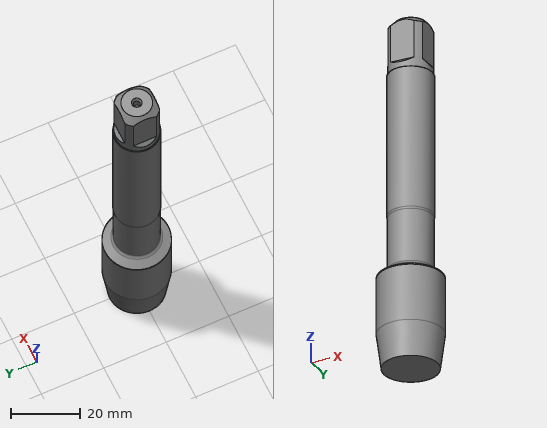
import cadquery as cq
import math

total_height = 112.0

head_radius = 20.2 / 2
tip_radius = 17.2 / 2
taper_height = 11.0
head_height = 28.9

shoulder_bottom = 29.2
shoulder_small_radius = 7.5
shoulder_top = 30.8
neck_radius = 13.7 / 2
neck_fillet_top = 31.8
neck_top = 48.7

shank_radius = 14.0 / 2
shank_bottom = 49.4
shank_top = 95.1
shank_chamfer = 0.2

drive_radius = 13.4 / 2
drive_flats = 11.2
flats_bottom = 98.0
drive_top_radius = 4.6
drive_chamfer_height = 2.1

hole_radius = 2.0 / 2
countersink_radius = 3.0 / 2
countersink_angle = 60.0
hole_depth = 3.4
drill_point_angle = 118.0


def revolve_profile(profile):
    return profile.close().revolve(360, (0, 0, 0), (0, 1, 0))


def cone_height(radius_change, included_angle):
    return radius_change / math.tan(math.radians(included_angle / 2))


def make_head():
    profile = (
        cq.Workplane("XZ")
        .lineTo(tip_radius, 0)
        .lineTo(head_radius, taper_height)
        .lineTo(head_radius, head_height)
        .lineTo(0, head_height)
    )
    return revolve_profile(profile)


def make_shank_blank():
    profile = (
        cq.Workplane("XZ")
        .moveTo(0, head_height)
        .lineTo(head_radius, head_height)
        .lineTo(head_radius, shoulder_bottom)
        .lineTo(shoulder_small_radius, shoulder_top)
        .tangentArcPoint((neck_radius, neck_fillet_top), relative=False)
        .lineTo(neck_radius, neck_top)
        .lineTo(shank_radius, shank_bottom)
        .lineTo(shank_radius, shank_top - shank_chamfer)
        .lineTo(shank_radius - shank_chamfer, shank_top)
        .lineTo(drive_radius, shank_top)
        .lineTo(drive_radius, total_height - drive_chamfer_height)
        .lineTo(drive_top_radius, total_height)
        .lineTo(0, total_height)
    )
    return revolve_profile(profile)


def make_flat_cutter():
    """Cutter for the +X flat, with a 45 degree run-out at its lower end."""
    inner = drive_flats / 2
    outer = shank_radius
    return (
        cq.Workplane("XZ")
        .moveTo(inner, flats_bottom)
        .lineTo(outer, flats_bottom - (outer - inner))
        .lineTo(outer, total_height)
        .lineTo(inner, total_height)
        .close()
        .extrude(shank_radius, both=True)
    )


def make_center_hole():
    countersink_depth = cone_height(countersink_radius - hole_radius, countersink_angle)
    hole_bottom = total_height - hole_depth
    point_height = cone_height(hole_radius, drill_point_angle)
    profile = (
        cq.Workplane("XZ")
        .moveTo(0, total_height)
        .lineTo(countersink_radius, total_height)
        .lineTo(hole_radius, total_height - countersink_depth)
        .lineTo(hole_radius, hole_bottom)
        .lineTo(0, hole_bottom - point_height)
    )
    return revolve_profile(profile)


def make_shank():
    shank = make_shank_blank()
    flat_cutter = make_flat_cutter()
    for angle in (0, 90, 180, 270):
        shank = shank.cut(flat_cutter.rotate((0, 0, 0), (0, 0, 1), angle))
    return shank.cut(make_center_hole())


head = make_head()
shank = make_shank()
result = cq.Compound.makeCompound([head.val(), shank.val()])